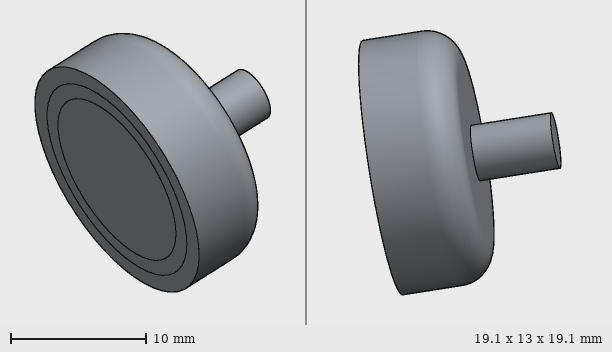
import cadquery as cq


cup_diameter = 19.05
cup_height = 6.985
cup_edge_radius = 2.54
stud_diameter = 4.166
total_length = 13.0
stud_length = total_length - cup_height

magnet_diameter = 13.67
pocket_diameter = 16.2
pocket_depth = cup_height - cup_edge_radius

cup_face = 0.0
cup_back = cup_face + cup_height


def cylinder(diameter, start, length):
    """Cylinder about the Y axis, running towards +Y from the given start."""
    plane = cq.Plane(origin=(0, start, 0), xDir=(1, 0, 0), normal=(0, 1, 0))
    return cq.Workplane(plane).circle(diameter / 2).extrude(length)


def make_housing():
    """Cup with a rounded back edge, an open pocket in its face and a stud on its back."""
    cup = cylinder(cup_diameter, cup_face, cup_height)
    cup = cup.faces(">Y").edges().fillet(cup_edge_radius)
    pocket = cylinder(pocket_diameter, cup_face, pocket_depth)
    stud = cylinder(stud_diameter, cup_back, stud_length)
    return cup.cut(pocket).union(stud)


def make_filler_ring():
    """Ring between the magnet and the pocket wall, flush with the cup face."""
    ring = cylinder(pocket_diameter, cup_face, pocket_depth)
    return ring.cut(make_magnet())


def make_magnet():
    """Disc magnet on the pocket floor, flush with the cup face."""
    return cylinder(magnet_diameter, cup_face, pocket_depth)


housing = make_housing()
filler_ring = make_filler_ring()
magnet = make_magnet()

result = cq.Compound.makeCompound([housing.val(), filler_ring.val(), magnet.val()])